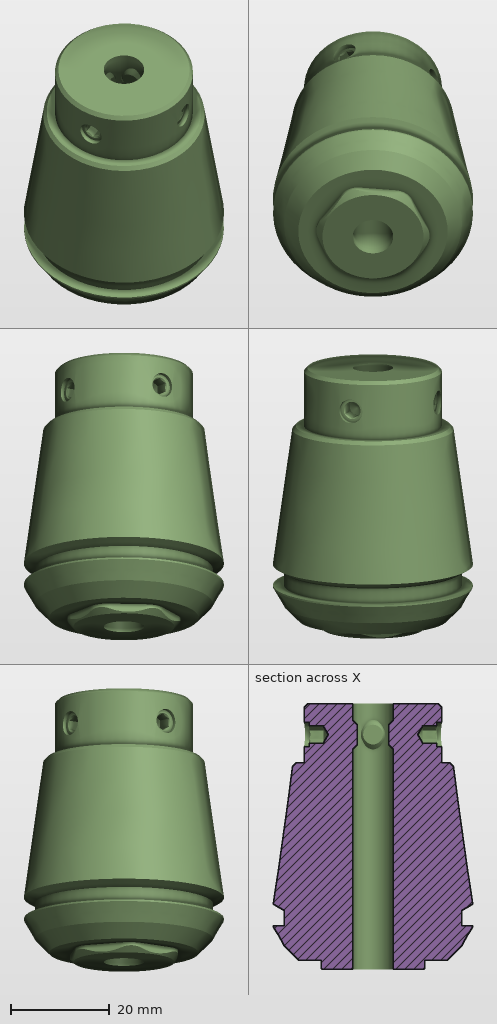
import cadquery as cq
import math

TOTAL_HEIGHT = 54.0
HEX_HEIGHT = 1.9
RIM_KNEE_Z = 4.8
RIM_TOP_Z = 9.0
GROOVE_TOP_Z = 12.0
SHOULDER_Z = 42.0

BORE_DIAMETER = 8.2
RIM_RADIUS = 40.55 / 2
RIM_BAND_HEIGHT = 0.35
RIM_SLOPE_ANGLE = math.radians(30)
RIM_FOOT_ANGLE = math.radians(45)
GROOVE_RADIUS = 36.2 / 2
GROOVE_BEVEL_ANGLE = math.radians(30)
SLEEVE_RADIUS = 40.64 / 2
SLEEVE_TAPER = math.radians(8)
NECK_RADIUS = 28.0 / 2
EDGE_CHAMFER = 0.7

HEX_ACROSS_FLATS = 21.0
HEX_CORNER_FILLET = 4.0
HEX_BOTTOM_RADIUS = 10.25

SCREW_COUNT = 4
SCREW_Z = 47.7
SCREW_HOLE_DIAMETER = 4.92
SCREW_DIAMETER = 6.0
SCREW_LENGTH = 9.9
SCREW_RECESS = 1.0
SCREW_TIP_DIAMETER = 4.0
SOCKET_ACROSS_FLATS = 3.0
SOCKET_DEPTH = 3.0
SOCKET_MOUTH_DIAMETER = 3.6
SOCKET_CONE_HALF_ANGLE = math.radians(60)

HEX_CORNER_RATIO = 1 / math.cos(math.radians(30))


def turned_body():
    """Solid of revolution: rim, groove, tapered sleeve and neck."""
    slope_top_z = RIM_TOP_Z - RIM_BAND_HEIGHT
    knee_radius = RIM_RADIUS - (slope_top_z - RIM_KNEE_Z) * math.tan(RIM_SLOPE_ANGLE)
    foot_radius = knee_radius - (RIM_KNEE_Z - HEX_HEIGHT) * math.tan(RIM_FOOT_ANGLE)
    bevel_rise = (SLEEVE_RADIUS - GROOVE_RADIUS) * math.tan(GROOVE_BEVEL_ANGLE)
    sleeve_bottom_z = GROOVE_TOP_Z + bevel_rise
    sleeve_top_z = SHOULDER_Z - EDGE_CHAMFER
    sleeve_top_radius = SLEEVE_RADIUS - (sleeve_top_z - sleeve_bottom_z) * math.tan(SLEEVE_TAPER)
    profile = [
        (0, HEX_HEIGHT),
        (foot_radius, HEX_HEIGHT),
        (knee_radius, RIM_KNEE_Z),
        (RIM_RADIUS, slope_top_z),
        (RIM_RADIUS, RIM_TOP_Z),
        (GROOVE_RADIUS, RIM_TOP_Z),
        (GROOVE_RADIUS, GROOVE_TOP_Z),
        (SLEEVE_RADIUS, sleeve_bottom_z),
        (sleeve_top_radius, sleeve_top_z),
        (sleeve_top_radius - EDGE_CHAMFER, SHOULDER_Z),
        (NECK_RADIUS, SHOULDER_Z),
        (NECK_RADIUS, TOTAL_HEIGHT - EDGE_CHAMFER),
        (NECK_RADIUS - EDGE_CHAMFER, TOTAL_HEIGHT),
        (0, TOTAL_HEIGHT),
    ]
    return cq.Workplane("XZ").polyline(profile).close().revolve(360, (0, 0), (0, 1))


def bottom_hex():
    """Round-cornered hex with flats facing +Y and -Y, bevelled at 45 degrees below."""
    across_corners = HEX_ACROSS_FLATS * HEX_CORNER_RATIO
    prism = cq.Workplane("XY").polygon(6, across_corners).extrude(RIM_KNEE_Z)
    prism = prism.edges("|Z").fillet(HEX_CORNER_FILLET)
    bevel = cq.Workplane("XY").add(
        cq.Solid.makeCone(HEX_BOTTOM_RADIUS, HEX_BOTTOM_RADIUS + RIM_KNEE_Z, RIM_KNEE_Z)
    )
    return prism.intersect(bevel)


def set_screw():
    """Set screw lying along +X at the origin height, with its tip inside the bore."""
    outer_x = NECK_RADIUS - SCREW_RECESS
    tip_x = outer_x - SCREW_LENGTH
    radius = SCREW_DIAMETER / 2
    tip_radius = SCREW_TIP_DIAMETER / 2
    tip_chamfer = radius - tip_radius
    shank_profile = [
        (tip_x, 0),
        (tip_x, tip_radius),
        (tip_x + tip_chamfer, radius),
        (outer_x, radius),
        (outer_x, 0),
    ]
    shank = cq.Workplane("XZ").polyline(shank_profile).close().revolve(360, (0, 0), (1, 0))

    socket = (
        cq.Workplane("YZ", origin=(outer_x, 0, 0))
        .transformed(rotate=(0, 0, 90))
        .polygon(6, SOCKET_ACROSS_FLATS * HEX_CORNER_RATIO)
        .extrude(-SOCKET_DEPTH)
    )
    drill_radius = SOCKET_ACROSS_FLATS / 2
    mouth_radius = SOCKET_MOUTH_DIAMETER / 2
    mouth_depth = mouth_radius - drill_radius
    floor_x = outer_x - SOCKET_DEPTH
    point_x = floor_x - drill_radius / math.tan(SOCKET_CONE_HALF_ANGLE)
    drill_profile = [
        (point_x, 0),
        (floor_x, drill_radius),
        (outer_x - mouth_depth, drill_radius),
        (outer_x, mouth_radius),
        (outer_x, 0),
    ]
    drilling = cq.Workplane("XZ").polyline(drill_profile).close().revolve(360, (0, 0), (1, 0))
    return shank.cut(socket).cut(drilling)


def screw_hole():
    """Radial hole along +X from the axis out through the neck wall."""
    return cq.Workplane("YZ").circle(SCREW_HOLE_DIAMETER / 2).extrude(NECK_RADIUS + SCREW_RECESS)


def placed_around_neck(shape, index):
    """Turn a +X shape to its place around the axis and lift it to the screw height."""
    angle = index * 360 / SCREW_COUNT
    return shape.rotate((0, 0, 0), (0, 0, 1), angle).translate((0, 0, SCREW_Z))


result = turned_body().union(bottom_hex())
bore = cq.Workplane("XY").circle(BORE_DIAMETER / 2).extrude(TOTAL_HEIGHT)
result = result.cut(bore)
for index in range(SCREW_COUNT):
    result = result.cut(placed_around_neck(screw_hole(), index))
for index in range(SCREW_COUNT):
    result = result.union(placed_around_neck(set_screw(), index))